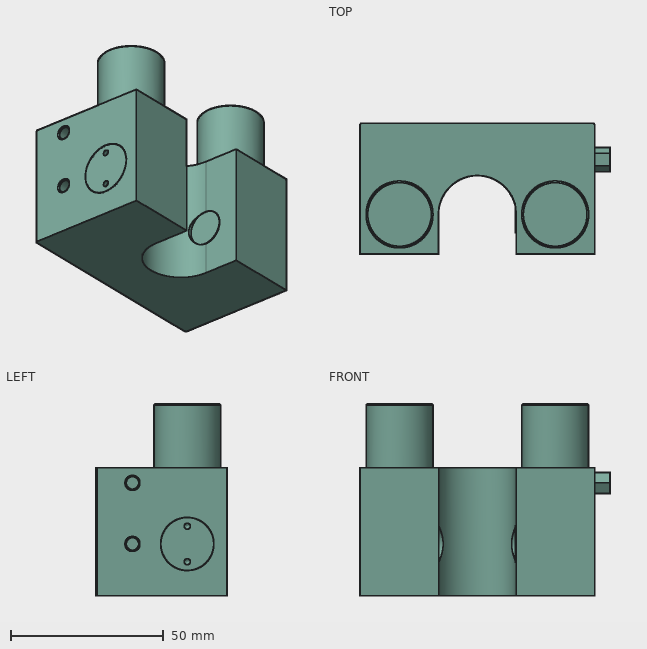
import cadquery as cq

overall_length = 82.0
block_length = 77.0
block_depth = 43.0
block_height = 42.0
back_edge_chamfer = 0.5
middle_x = block_length / 2

pin_diameter = 22.0
pin_height = 21.0
pin_chamfer = 0.6
pin_spacing = 51.0
pin_axis_y = 13.0

slot_width = 25.4

lower_axis_z = 17.0
piston_bore_diameter = 12.0
piston_protrusion = 0.25

plug_bore_diameter = 17.5
plug_diameter = 17.3
plug_gap_depth = 0.5
key_hole_diameter = 2.0
key_hole_spacing = 11.65
key_hole_depth = 2.5
key_hole_tip = 0.6

port_axis_y = 31.0
port_spacing = 20.0
port_diameter = 4.1
port_mouth_diameter = 4.9
port_depth = 8.0
port_chamfer = (port_mouth_diameter - port_diameter) / 2
upper_axis_z = lower_axis_z + port_spacing

hex_across_corners = 8.0
hex_length = overall_length - block_length


def x_cylinder(diameter, x_start, length, y, z):
    """Cylinder along +X starting at x_start."""
    return (
        cq.Workplane("YZ", origin=(x_start, y, z))
        .circle(diameter / 2)
        .extrude(length)
    )


def make_block():
    block = cq.Workplane("XY").box(block_length, block_depth, block_height, centered=False)
    return block.edges("|Z and >Y").chamfer(back_edge_chamfer)


def make_slot():
    slot_radius = slot_width / 2
    return (
        cq.Workplane("XY")
        .moveTo(middle_x - slot_radius, 0)
        .lineTo(middle_x - slot_radius, pin_axis_y)
        .threePointArc((middle_x, pin_axis_y + slot_radius), (middle_x + slot_radius, pin_axis_y))
        .lineTo(middle_x + slot_radius, 0)
        .close()
        .extrude(block_height)
    )


def make_pin(x):
    return (
        cq.Workplane("XY", origin=(x, pin_axis_y, block_height))
        .circle(pin_diameter / 2)
        .extrude(pin_height)
        .faces(">Z")
        .chamfer(pin_chamfer)
    )


def make_piston_bore():
    """Bore clearing the rounded slot end up to the faces of both pistons."""
    left_face_x = middle_x - slot_width / 2
    length = slot_width - piston_protrusion
    return x_cylinder(piston_bore_diameter, left_face_x, length, pin_axis_y, lower_axis_z)


def make_protruding_piston():
    """Right piston end, slightly proud of the slot wall and rooted equally deep in it."""
    face_x = middle_x + slot_width / 2 - piston_protrusion
    length = 2 * piston_protrusion
    return x_cylinder(piston_bore_diameter, face_x, length, pin_axis_y, lower_axis_z)


def make_plug_gap():
    """Thin ring between the plug and its bore."""
    return (
        cq.Workplane("YZ", origin=(0, pin_axis_y, lower_axis_z))
        .circle(plug_bore_diameter / 2)
        .circle(plug_diameter / 2)
        .extrude(plug_gap_depth)
    )


def make_key_hole(z):
    """Blind hole with a conical tip for the plug's pin wrench."""
    radius = key_hole_diameter / 2
    return (
        cq.Workplane("XY", origin=(0, pin_axis_y, z))
        .polyline([(0, 0), (0, radius), (key_hole_depth, radius), (key_hole_depth + key_hole_tip, 0)])
        .close()
        .revolve(360, (0, 0, 0), (1, 0, 0))
    )


def make_port(z):
    """Blind port with a chamfered mouth."""
    radius = port_diameter / 2
    return (
        cq.Workplane("XY", origin=(0, port_axis_y, z))
        .polyline([
            (0, 0),
            (0, radius + port_chamfer),
            (port_chamfer, radius),
            (port_depth, radius),
            (port_depth, 0),
        ])
        .close()
        .revolve(360, (0, 0, 0), (1, 0, 0))
    )


def make_hex_head():
    """Hexagon with flats on top and bottom."""
    return (
        cq.Workplane("YZ", origin=(block_length, port_axis_y, upper_axis_z))
        .polygon(6, hex_across_corners)
        .extrude(hex_length)
    )


result = make_block().cut(make_slot())
result = result.cut(make_piston_bore()).union(make_protruding_piston())

for side in (-1, 1):
    result = result.union(make_pin(middle_x + side * pin_spacing / 2))
    result = result.cut(make_key_hole(lower_axis_z + side * key_hole_spacing / 2))

for port_z in (lower_axis_z, upper_axis_z):
    result = result.cut(make_port(port_z))

result = result.cut(make_plug_gap()).union(make_hex_head())